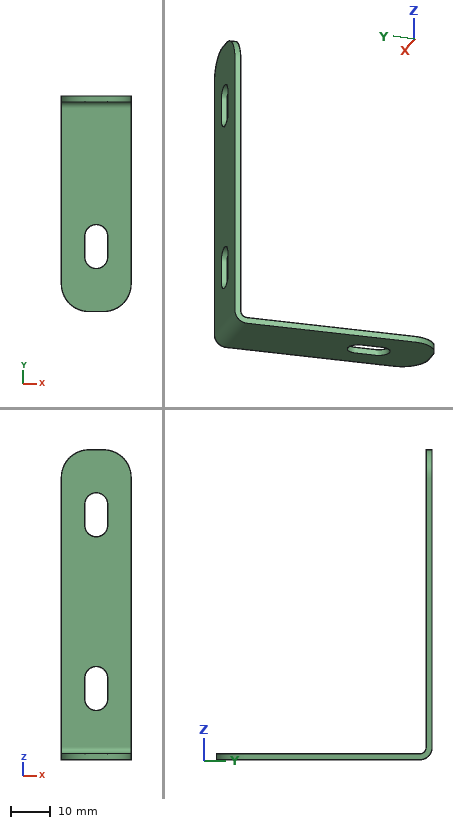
import cadquery as cq

width = 17.7
depth = 54.6
height = 78.5
thickness = 1.6

inner_bend_radius = 1.6
outer_bend_radius = inner_bend_radius + thickness
end_radius = 7.1

slot_length = 11.1
slot_width = 5.7
slot_end_distance = 16.5
slot_spacing = 43.95

foot_slot_y = -depth + slot_end_distance
upper_slot_z = height - slot_end_distance
upright_slot_heights = [upper_slot_z, upper_slot_z - slot_spacing]


def bent_strip():
    """L-shaped strip with a rounded bend, centred on X = 0."""
    strip = (
        cq.Workplane("YZ")
        .moveTo(0, 0)
        .lineTo(0, height)
        .lineTo(-thickness, height)
        .lineTo(-thickness, thickness)
        .lineTo(-depth, thickness)
        .lineTo(-depth, 0)
        .close()
        .extrude(width / 2, both=True)
    )
    strip = strip.edges("|X and >Y and <Z").fillet(outer_bend_radius)
    inner_corner = cq.selectors.NearestToPointSelector((0, -thickness, thickness))
    return strip.edges(inner_corner).fillet(inner_bend_radius)


def foot_slot():
    """Cutter for the slot through the foot."""
    return (
        cq.Workplane("XY")
        .center(0, foot_slot_y)
        .slot2D(slot_length, slot_width, 90)
        .extrude(thickness)
    )


def upright_slots():
    """Cutters for the slots through the upright leg."""
    return (
        cq.Workplane("XZ")
        .pushPoints([(0, z) for z in upright_slot_heights])
        .slot2D(slot_length, slot_width, 90)
        .extrude(thickness)
    )


bracket = bent_strip()
bracket = bracket.faces(">Z").edges("|Y").fillet(end_radius)
bracket = bracket.faces("<Y").edges("|Z").fillet(end_radius)
result = bracket.cut(foot_slot()).cut(upright_slots())